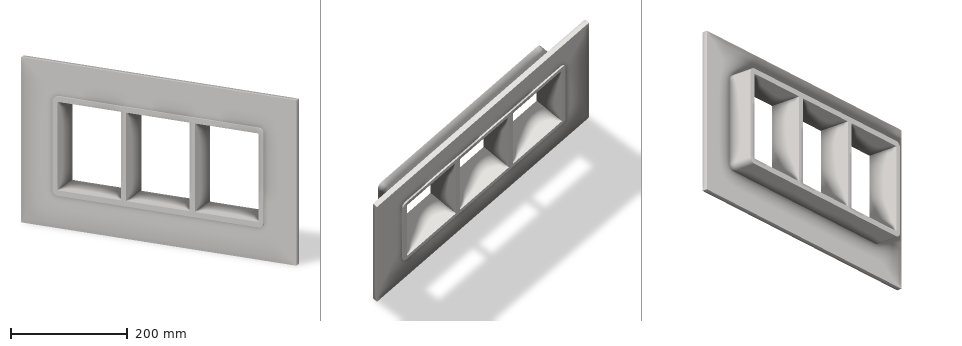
import cadquery as cq

plate_width = 521.5
plate_height = 299.5
plate_thickness = 10.0
frame_depth = 60.0
front_lip = 3.0
frame_width = 400.0
frame_height = 180.0
divider = 10.0
window_width = 120.5
window_height = 160.0
window_count = 3
corner_radius = 10.0

window_pitch = window_width + divider


def block(width, depth, height, front):
    """Box centred on X and Z that runs from y = front towards +Y."""
    return cq.Workplane("XY").box(width, depth, height).translate((0, front + depth / 2, 0))


plate = block(plate_width, plate_thickness, plate_height, 0)

frame = block(frame_width, frame_depth, frame_height, -front_lip)
frame = frame.edges("|Y").fillet(corner_radius)

result = plate.union(frame)

for index in range(window_count):
    window_x = (index - (window_count - 1) / 2) * window_pitch
    window = block(window_width, frame_depth, window_height, -front_lip)
    result = result.cut(window.translate((window_x, 0, 0)))